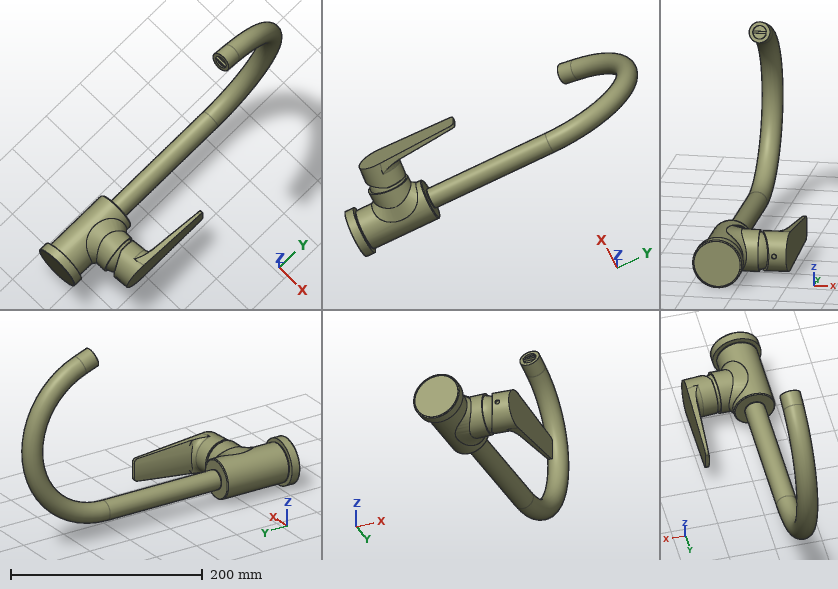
import cadquery as cq
import math

FLANGE_D = 52.0
FLANGE_LENGTH = 10.0
FOOT_D = 49.0
FOOT_HEIGHT = 0.3
JOINT_GROOVE_D = 42.0
JOINT_GROOVE_WIDTH = 1.0
BARREL_D = 44.0
BARREL_END_Y = 87.5
BARREL_EDGE_CHAMFER = 1.0

SPOUT_D = 22.0
SPOUT_GROOVE_D = 21.0
SPOUT_GROOVE_WIDTH = 1.0
BEND_RADIUS = 90.0
BEND_ANGLE = 160.0
REACH_Y = 327.8
BEND_START_Y = REACH_Y - BEND_RADIUS - SPOUT_D / 2
TIP_TOP_Z = 190.57
AERATOR_D = 14.11
AERATOR_DEPTH = 2.0
AERATOR_BAR_WIDTH = 2.2
AERATOR_BAR_RISE = 0.8

NECK_Y = 55.3
NECK_D = 44.0
NECK_END_X = 35.0
FLARE_HALF_WIDTH = 25.8
FLARE_SIDE_X = 25.0
FLARE_CROWN_X = 16.0
FLARE_STANDOFF = 0.02
FLARE_BURIAL = 3.0
FLARE_CORE_RADIUS = 18.0
FLARE_CURVE_POINTS = 24
VALVE_TILT = 5.0
DOME_X = 33.0
DOME_RADIUS = 20.0

HANDLE_D = 42.0
HANDLE_FRONT_X = 38.3
HANDLE_FRONT_Y = 56.3
HANDLE_RELIEF_ANGLE = 25.5
OUTER_FACE_X = 67.68
OUTER_FACE_LEAN = 0.86
LEVER_TIP_Y = 147.7
LEVER_TIP_THICKNESS = 4.5
LEVER_ROOT_Y = 59.6
LEVER_ROOT_HALF_WIDTH = 20.9
LEVER_TIP_HALF_WIDTH = 12.6
LEVER_CORNER_RADIUS = 5.0
LEVER_INNER_LEAN = 4.9
LEVER_CROWN_RADIUS = 60.0
LEVER_FILLET_RADIUS = 7.0
LEVER_FILLET_START = 21.5
LEVER_FILLET_BACKING = 3.0
GRUB_HOLE_D = 5.0
GRUB_HOLE_X = 53.5
GRUB_HOLE_DEPTH = 4.0

CLEAR = 100.0


def y_cylinder(diameter, start, end):
    """Cylinder on the Y axis between two Y positions."""
    return cq.Workplane("XZ", origin=(0, start, 0)).circle(diameter / 2).extrude(start - end)


def valve_axis():
    tilt = math.radians(VALVE_TILT)
    return (math.cos(tilt), math.sin(tilt), 0)


def tilted_plane(x, y):
    """Plane square to the valve axis; its local X points along +Z."""
    return cq.Plane(origin=(x, y, 0), xDir=(0, 0, 1), normal=valve_axis())


def valve_section_plane():
    """Lengthwise plane through the valve axis, with local X along that axis from the dome centre."""
    return cq.Plane(origin=(DOME_X, NECK_Y, 0), xDir=valve_axis(), normal=(0, 0, 1))


def make_column():
    groove_end = FLANGE_LENGTH + JOINT_GROOVE_WIDTH
    foot = y_cylinder(FOOT_D, 0, FOOT_HEIGHT)
    flange = y_cylinder(FLANGE_D, FOOT_HEIGHT, FLANGE_LENGTH)
    groove = y_cylinder(JOINT_GROOVE_D, FLANGE_LENGTH, groove_end)
    barrel = y_cylinder(BARREL_D, groove_end, BARREL_END_Y)
    barrel = barrel.faces(">Y").chamfer(BARREL_EDGE_CHAMFER)
    return foot.union(flange).union(groove).union(barrel)


def make_spout():
    bend = math.radians(BEND_ANGLE)
    rise_angle = math.pi - bend
    bend_end_y = BEND_START_Y + BEND_RADIUS * math.sin(bend)
    bend_end_z = BEND_RADIUS * (1 - math.cos(bend))
    rim_top = SPOUT_D / 2 * math.cos(rise_angle)
    outlet_rise = TIP_TOP_Z - bend_end_z - rim_top
    outlet_length = outlet_rise / math.sin(rise_angle)
    tip = (0, bend_end_y - outlet_length * math.cos(rise_angle), bend_end_z + outlet_rise)

    tube_start_y = BARREL_END_Y + SPOUT_GROOVE_WIDTH
    path = (
        cq.Workplane("YZ")
        .moveTo(tube_start_y, 0)
        .lineTo(BEND_START_Y, 0)
        .threePointArc(
            (
                BEND_START_Y + BEND_RADIUS * math.sin(bend / 2),
                BEND_RADIUS * (1 - math.cos(bend / 2)),
            ),
            (bend_end_y, bend_end_z),
        )
        .lineTo(tip[1], tip[2])
    )
    tube = cq.Workplane("XZ", origin=(0, tube_start_y, 0)).circle(SPOUT_D / 2).sweep(path)
    root = y_cylinder(SPOUT_GROOVE_D, BARREL_END_Y, tube_start_y)

    outward = (0, -math.cos(rise_angle), math.sin(rise_angle))
    outlet = cq.Workplane(cq.Plane(origin=tip, xDir=(1, 0, 0), normal=outward))
    recess = outlet.circle(AERATOR_D / 2).extrude(-AERATOR_DEPTH)
    bar_height = AERATOR_DEPTH + AERATOR_BAR_RISE
    bar = (
        outlet.workplane(offset=-AERATOR_DEPTH)
        .rect(AERATOR_D, AERATOR_BAR_WIDTH)
        .extrude(bar_height)
        .intersect(
            outlet.workplane(offset=-AERATOR_DEPTH).circle(AERATOR_D / 2).extrude(bar_height)
        )
    )
    return tube.union(root).cut(recess).union(bar)


def closed_curve(point_at):
    """Closed smooth wire through points given by a function of the angle around the neck axis."""
    angles = [2 * math.pi * step / FLARE_CURVE_POINTS for step in range(FLARE_CURVE_POINTS)]
    points = [cq.Vector(*point_at(angle)) for angle in angles]
    return cq.Wire.assembleEdges([cq.Edge.makeSpline(points, periodic=True)])


def ring_point(x, radius):
    """Point function of a circle about the neck axis."""
    return lambda angle: (x, NECK_Y + radius * math.cos(angle), radius * math.sin(angle))


def flare_outer_point(angle):
    """Rim of the flare on the barrel surface: elliptical when seen along Z."""
    radius = BARREL_D / 2 + FLARE_STANDOFF
    across = math.cos(angle)
    return (
        radius * across**2,
        NECK_Y + FLARE_HALF_WIDTH * across * math.sqrt(2 - across**2),
        radius * math.sin(angle) * math.sqrt(1 + across**2),
    )


def flare_inner_point(angle):
    """Rim of the flare on the neck surface, bowed towards the barrel at top and bottom."""
    radius = NECK_D / 2 + FLARE_STANDOFF
    x = FLARE_CROWN_X + (FLARE_SIDE_X - FLARE_CROWN_X) * math.cos(angle) ** 2
    return (x, NECK_Y + radius * math.cos(angle), radius * math.sin(angle))


def make_flare():
    """Sloped transition between the barrel and the neck, with both ends buried inside them."""
    sections = [
        ring_point(-FLARE_BURIAL, FLARE_CORE_RADIUS),
        flare_outer_point,
        flare_inner_point,
        ring_point(FLARE_SIDE_X + FLARE_BURIAL, FLARE_CORE_RADIUS),
    ]
    return cq.Workplane(cq.Solid.makeLoft([closed_curve(section) for section in sections], True))


def make_neck():
    """Round neck with its end cut square to the valve axis, blended into the barrel."""
    side = cq.Workplane("YZ", origin=(0, NECK_Y, 0))
    neck = side.circle(NECK_D / 2).extrude(NECK_END_X + NECK_D)
    beyond_end = cq.Workplane(tilted_plane(NECK_END_X, NECK_Y)).rect(CLEAR, CLEAR).extrude(CLEAR)
    return neck.cut(beyond_end).union(make_flare())


def make_dome():
    """Hemispherical head on the neck, seated in the handle."""
    return (
        cq.Workplane(valve_section_plane())
        .lineTo(DOME_RADIUS, 0)
        .radiusArc((0, DOME_RADIUS), -DOME_RADIUS)
        .close()
        .revolve(360, (0, 0, 0), (1, 0, 0))
    )


def outer_face_x(y):
    return OUTER_FACE_X - (LEVER_TIP_Y - y) * math.tan(math.radians(OUTER_FACE_LEAN))


def lever_inner_x(y):
    tip_x = OUTER_FACE_X - LEVER_TIP_THICKNESS
    return tip_x - (LEVER_TIP_Y - y) * math.tan(math.radians(LEVER_INNER_LEAN))


def make_handle_barrel():
    """Tilted cylinder with a leaning outer face and a relieved front edge."""
    barrel = cq.Workplane(tilted_plane(DOME_X, NECK_Y)).circle(HANDLE_D / 2).extrude(CLEAR)
    tilt = math.tan(math.radians(VALVE_TILT))
    relief = math.tan(math.radians(HANDLE_RELIEF_ANGLE))
    top_y = NECK_Y + HANDLE_D
    bottom_y = NECK_Y - HANDLE_D
    outline = (
        cq.Workplane("XY", origin=(0, 0, -CLEAR / 2))
        .moveTo(HANDLE_FRONT_X - (top_y - HANDLE_FRONT_Y) * tilt, top_y)
        .lineTo(HANDLE_FRONT_X, HANDLE_FRONT_Y)
        .lineTo(HANDLE_FRONT_X + (HANDLE_FRONT_Y - bottom_y) * relief, bottom_y)
        .lineTo(outer_face_x(bottom_y), bottom_y)
        .lineTo(outer_face_x(top_y), top_y)
        .close()
        .extrude(CLEAR)
    )
    return barrel.intersect(outline)


def lever_outline():
    """Tapered lever seen along X, with rounded tip corners."""
    return (
        cq.Workplane("YZ")
        .moveTo(LEVER_ROOT_Y, -LEVER_ROOT_HALF_WIDTH)
        .lineTo(LEVER_TIP_Y, -LEVER_TIP_HALF_WIDTH)
        .lineTo(LEVER_TIP_Y, LEVER_TIP_HALF_WIDTH)
        .lineTo(LEVER_ROOT_Y, LEVER_ROOT_HALF_WIDTH)
        .close()
        .extrude(CLEAR)
        .edges("|X and >Y")
        .fillet(LEVER_CORNER_RADIUS)
    )


def make_lever():
    """Thin wedge whose inner face is crowned across its width."""
    inner_root = lever_inner_x(LEVER_ROOT_Y)
    wedge = (
        cq.Workplane("XY", origin=(0, 0, -CLEAR / 2))
        .moveTo(inner_root, LEVER_ROOT_Y)
        .lineTo(lever_inner_x(LEVER_TIP_Y), LEVER_TIP_Y)
        .lineTo(OUTER_FACE_X, LEVER_TIP_Y)
        .lineTo(outer_face_x(LEVER_ROOT_Y), LEVER_ROOT_Y)
        .close()
        .extrude(CLEAR)
    )
    lean = math.radians(LEVER_INNER_LEAN)
    along = (math.sin(lean), math.cos(lean), 0)
    crown_plane = cq.Plane(origin=(inner_root, LEVER_ROOT_Y, 0), xDir=(0, 0, 1), normal=along)
    crown = (
        cq.Workplane(crown_plane)
        .workplane(offset=-CLEAR)
        .center(0, LEVER_CROWN_RADIUS)
        .circle(LEVER_CROWN_RADIUS)
        .extrude(3 * CLEAR)
    )
    return wedge.intersect(crown)


def make_root_fillet():
    """Concave ring blending the handle barrel into the lever's inner face."""
    arc_end = LEVER_FILLET_START + LEVER_FILLET_RADIUS
    rim_radius = HANDLE_D / 2 + LEVER_FILLET_RADIUS
    return (
        cq.Workplane(valve_section_plane())
        .moveTo(LEVER_FILLET_START, 0)
        .lineTo(LEVER_FILLET_START, HANDLE_D / 2)
        .radiusArc((arc_end, rim_radius), -LEVER_FILLET_RADIUS)
        .lineTo(arc_end + LEVER_FILLET_BACKING, rim_radius)
        .lineTo(arc_end + LEVER_FILLET_BACKING, 0)
        .close()
        .revolve(360, (0, 0, 0), (1, 0, 0))
    )


def make_grub_hole():
    """Blind hole for the grub screw in the underside of the handle barrel."""
    underside_y = NECK_Y - HANDLE_D / 2
    hole = y_cylinder(GRUB_HOLE_D, underside_y - GRUB_HOLE_DEPTH, underside_y + GRUB_HOLE_DEPTH)
    return hole.translate((GRUB_HOLE_X, 0, 0))


dome = make_dome()
faucet = make_column().union(make_spout()).union(make_neck()).union(dome)
lever = make_lever().union(make_root_fillet()).intersect(lever_outline())
handle = make_handle_barrel().union(lever).cut(make_grub_hole()).cut(dome)

result = cq.Compound.makeCompound([faucet.solids().val(), handle.solids().val()])